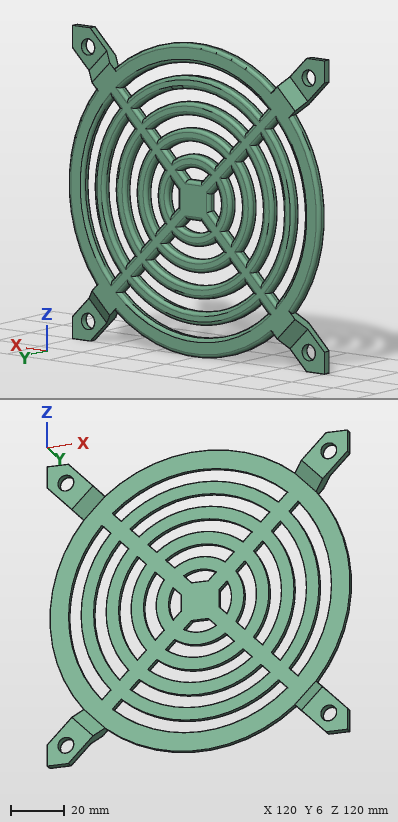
import cadquery as cq
import math

overall_size = 120.0
sheet_thickness = 3.0
back_edge_fillet = 1.5

rim_inner_radius = 52.5
hub_half_width = 7.5
ring_slot_count = 4
spoke_width = 6.0

tab_width = 12.0
hole_diameter = 6.2
hole_offset = 52.5
bend_front_radius = 59.6
bend_run = 5.3
bend_back_shift = 2.8

disc_radius = overall_size / 2
overall_depth = 2 * sheet_thickness
corner_radius = disc_radius * math.sqrt(2)
slot_width = (rim_inner_radius - hub_half_width) / (2 * ring_slot_count + 1)
center_slot_radius = hub_half_width + slot_width
diagonal_angles = (45, 135, 225, 315)


def cylinder(radius):
    """Cylinder through the sheet, from Y = 0 back to Y = sheet_thickness."""
    return cq.Workplane("XZ").circle(radius).extrude(-sheet_thickness)


def box_on_sheet(width, height):
    """Centred rectangular block through the sheet."""
    return cq.Workplane("XZ").rect(width, height).extrude(-sheet_thickness)


def make_slots():
    """Concentric ring slots around a square hub, interrupted by two diagonal spokes."""
    slots = cylinder(center_slot_radius).cut(box_on_sheet(2 * hub_half_width, 2 * hub_half_width))
    for ring in range(1, ring_slot_count + 1):
        outer_radius = center_slot_radius + 2 * ring * slot_width
        slots = slots.union(cylinder(outer_radius).cut(cylinder(outer_radius - slot_width)))
    spoke = box_on_sheet(2 * disc_radius, spoke_width)
    for angle in diagonal_angles[:2]:
        slots = slots.cut(spoke.rotate((0, 0, 0), (0, 1, 0), angle))
    return slots


def make_grille():
    """Slotted disc with every back edge, around the rim and the slots, rounded over."""
    grille = cylinder(disc_radius).cut(make_slots())
    return grille.faces(">Y").edges().fillet(back_edge_fillet)


def make_tab():
    """Stepped tab along +X: from the rim it slopes one sheet thickness forward."""
    root_radius = (rim_inner_radius + disc_radius) / 2
    back_bend = bend_front_radius + bend_back_shift
    side_profile = [
        (root_radius, 0),
        (bend_front_radius, 0),
        (bend_front_radius + bend_run, -sheet_thickness),
        (corner_radius, -sheet_thickness),
        (corner_radius, 0),
        (back_bend + bend_run, 0),
        (back_bend, sheet_thickness),
        (root_radius, sheet_thickness),
    ]
    tab = cq.Workplane("XY").polyline(side_profile).close().extrude(tab_width / 2, both=True)
    hole_radial_distance = hole_offset * math.sqrt(2)
    hole = (
        cq.Workplane("XZ")
        .center(hole_radial_distance, 0)
        .circle(hole_diameter / 2)
        .extrude(sheet_thickness)
    )
    return tab.cut(hole)


def make_tabs():
    """Four diagonal tabs whose tips are trimmed to the square outline."""
    tab = make_tab()
    outline = cq.Workplane("XY").box(overall_size, 2 * overall_depth, overall_size)
    return [tab.rotate((0, 0, 0), (0, 1, 0), angle).intersect(outline) for angle in diagonal_angles]


result = make_grille()
for corner_tab in make_tabs():
    result = result.union(corner_tab)
result = cq.Workplane(result.solids().val())